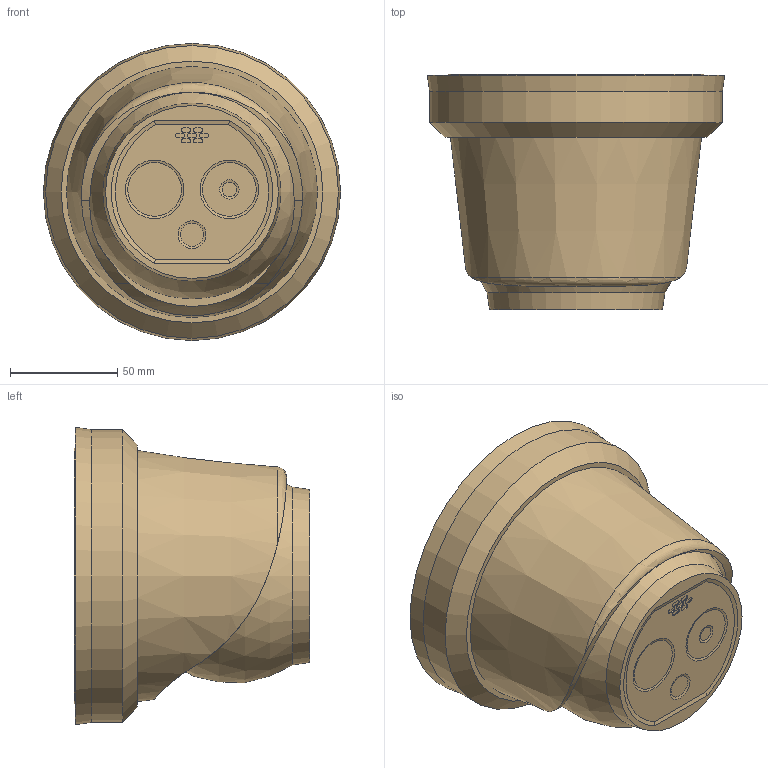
import cadquery as cq
import math

TOTAL_LENGTH = 109.61

PAD_RADIUS = 59.5
PAD_THICKNESS = 0.5
FLANGE_BACK_RADIUS = 69.15
FLANGE_RADIUS = 68.1
FLANGE_TAPER_REACH = 8.05
FLANGE_BEVEL_REACH = 22.5
FLANGE_FRONT_RADIUS = 60.9
FLANGE_REACH = 29.4

SHELL_BACK_RADIUS = 58.4
SHELL_SHOULDER_RADIUS = 50.9
SHELL_SHOULDER_REACH = 94.6
RIM_RADIUS = 46.3
RIM_REACH = 98.8
CAVITY_SLOPE = 0.119

TRIM_TOP = (RIM_REACH, RIM_RADIUS)
TRIM_UPPER_BEND = (95.1, 17.0)
TRIM_BELLY = (88.4, -4.0)
TRIM_INFLECTION = (55.0, -42.6)
TRIM_BOTTOM = (36.8, -57.7)
TRIM_MARGIN = 20.0

BALL_RADIUS = 50.0
BALL_REACH = 73.6
NECK_RADIUS = 41.4
FACE_RADIUS = 40.2

WINDOW_RADIUS = 37.6
WINDOW_HALF_HEIGHT = 33.3
WINDOW_BEVEL = 1.9
WINDOW_DEPTH = 0.5

LENS_BEVEL = 1.1
LENS_DEPTH = 0.3
MAIN_LENS_X = 17.4
MAIN_LENS_Z = 1.2
MAIN_LENS_RADIUS = 13.6
CENTRE_LENS_RADIUS = 4.5
LOWER_LENS_Z = -19.9
LOWER_LENS_RADIUS = 6.5

SLOT_LENGTH = 4.4
SLOT_HEIGHT = 2.1
SLOT_DEPTH = 0.5
SLOT_PITCH = 5.6
ROW_PITCH = 2.45
GRILLE_Z = 26.3
SLOTS_PER_ROW = (2, 3, 2)

FLOOR_REACH = BALL_REACH - BALL_RADIUS
NECK_REACH = BALL_REACH + math.sqrt(BALL_RADIUS**2 - NECK_RADIUS**2)
WINDOW_REACH = TOTAL_LENGTH - WINDOW_DEPTH


def revolve_outline(points):
    """Solid of revolution about Y from (radius, reach) corners."""
    outline = [(radius, -reach) for radius, reach in points]
    return cq.Workplane("XY").polyline(outline).close().revolve()


def facing_plane(reach, z=0):
    """Workplane parallel to XZ at a given reach, with its normal toward +Y (into the part)."""
    return cq.Workplane(cq.Plane(origin=(0, -reach, z), xDir=(1, 0, 0), normal=(0, 1, 0)))


def ball_outline():
    """Half outline of the ball from its rear pole round to the reach where the neck begins."""
    widest = (BALL_RADIUS, -BALL_REACH)
    neck = (NECK_RADIUS, -NECK_REACH)
    return cq.Workplane("XY").moveTo(0, -FLOOR_REACH).threePointArc(widest, neck)


def housing_outside():
    return (
        cq.Workplane("XY")
        .moveTo(0, 0)
        .lineTo(PAD_RADIUS, 0)
        .lineTo(PAD_RADIUS, -PAD_THICKNESS)
        .lineTo(FLANGE_BACK_RADIUS, -PAD_THICKNESS)
        .lineTo(FLANGE_RADIUS, -FLANGE_TAPER_REACH)
        .lineTo(FLANGE_RADIUS, -FLANGE_BEVEL_REACH)
        .lineTo(FLANGE_FRONT_RADIUS, -FLANGE_REACH)
        .lineTo(SHELL_BACK_RADIUS, -FLANGE_REACH)
        .lineTo(SHELL_SHOULDER_RADIUS, -SHELL_SHOULDER_REACH)
        .tangentArcPoint((RIM_RADIUS, -RIM_REACH), relative=False)
        .lineTo(0, -RIM_REACH)
        .close()
        .revolve()
    )


def housing_cavity():
    floor_radius = RIM_RADIUS + CAVITY_SLOPE * (RIM_REACH - FLOOR_REACH)
    return revolve_outline([
        (0, FLOOR_REACH), (floor_radius, FLOOR_REACH), (RIM_RADIUS, RIM_REACH), (0, RIM_REACH),
    ])


def shell_trim():
    """Everything below and in front of the S-shaped trim line, across the full width."""
    front = -(RIM_REACH + TRIM_MARGIN)
    bottom = -(SHELL_BACK_RADIUS + TRIM_MARGIN)
    top, upper_bend, belly, inflection, low = [
        (-reach, height)
        for reach, height in (TRIM_TOP, TRIM_UPPER_BEND, TRIM_BELLY, TRIM_INFLECTION, TRIM_BOTTOM)
    ]
    return (
        cq.Workplane("YZ")
        .moveTo(front, top[1])
        .lineTo(*top)
        .threePointArc(upper_bend, belly)
        .tangentArcPoint(inflection, relative=False)
        .tangentArcPoint(low, relative=False)
        .lineTo(low[0], bottom)
        .lineTo(front, bottom)
        .close()
        .extrude(FLANGE_RADIUS, both=True)
    )


def make_housing():
    ball_seat = ball_outline().lineTo(0, -NECK_REACH).close().revolve()
    return housing_outside().cut(shell_trim()).cut(housing_cavity()).cut(ball_seat)


def window_outline(reach, inset):
    """Window outline at a given reach, moved inward by inset."""
    radius = WINDOW_RADIUS - inset
    half_height = WINDOW_HALF_HEIGHT - inset
    half_flat = math.sqrt(radius**2 - half_height**2)
    return (
        facing_plane(reach)
        .moveTo(-half_flat, half_height)
        .lineTo(half_flat, half_height)
        .threePointArc((radius, 0), (half_flat, -half_height))
        .lineTo(-half_flat, -half_height)
        .threePointArc((-radius, 0), (-half_flat, half_height))
        .close()
    )


def window_recess():
    mouth = window_outline(TOTAL_LENGTH, 0).wire().val()
    floor = window_outline(WINDOW_REACH, WINDOW_BEVEL).wire().val()
    return cq.Workplane(cq.Solid.makeLoft([mouth, floor], True))


def lens_recess(x, z, radius, reach):
    cone = cq.Solid.makeCone(
        radius, radius - LENS_BEVEL, LENS_DEPTH, pnt=cq.Vector(x, -reach, z), dir=cq.Vector(0, 1, 0)
    )
    return cq.Workplane(cone)


def grille_slots():
    centres = [
        ((column - (count - 1) / 2) * SLOT_PITCH, (1 - row) * ROW_PITCH)
        for row, count in enumerate(SLOTS_PER_ROW)
        for column in range(count)
    ]
    return (
        facing_plane(WINDOW_REACH, z=GRILLE_Z)
        .pushPoints(centres)
        .slot2D(SLOT_LENGTH, SLOT_HEIGHT)
        .extrude(SLOT_DEPTH)
    )


def make_eyeball():
    eyeball = (
        ball_outline()
        .lineTo(FACE_RADIUS, -TOTAL_LENGTH)
        .lineTo(0, -TOTAL_LENGTH)
        .close()
        .revolve()
    )
    eyeball = eyeball.cut(window_recess()).cut(grille_slots())
    for x in (-MAIN_LENS_X, MAIN_LENS_X):
        eyeball = eyeball.cut(lens_recess(x, MAIN_LENS_Z, MAIN_LENS_RADIUS, WINDOW_REACH))
    eyeball = eyeball.cut(
        lens_recess(MAIN_LENS_X, MAIN_LENS_Z, CENTRE_LENS_RADIUS, WINDOW_REACH - LENS_DEPTH)
    )
    return eyeball.cut(lens_recess(0, LOWER_LENS_Z, LOWER_LENS_RADIUS, WINDOW_REACH))


housing = make_housing()
eyeball = make_eyeball()
result = cq.Compound.makeCompound([housing.solids().val(), eyeball.solids().val()])